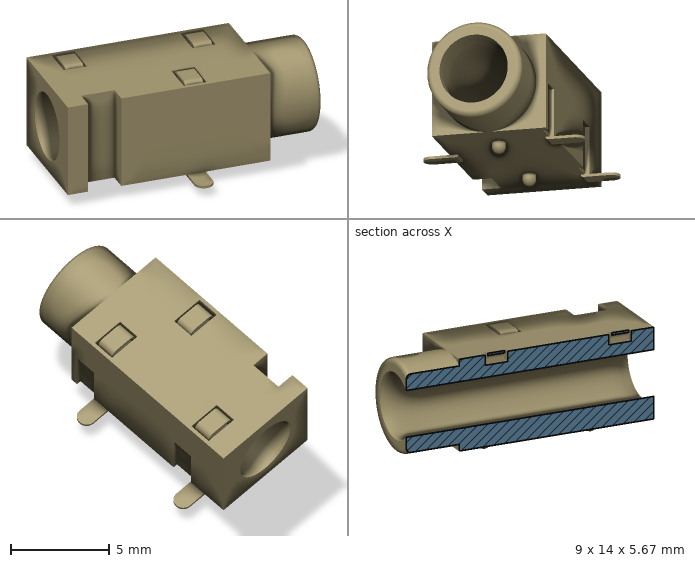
import cadquery as cq


OVERALL_LENGTH = 14.0
HOUSING_WIDTH = 6.0
HOUSING_HEIGHT = 5.0
BARREL_LENGTH = 3.0
BARREL_DIAMETER = HOUSING_HEIGHT
BARREL_EDGE_FILLET = 0.25
BORE_DIAMETER = 3.6
HOUSING_LENGTH = OVERALL_LENGTH - BARREL_LENGTH
AXIS_HEIGHT = HOUSING_HEIGHT / 2
SIDE_X = HOUSING_WIDTH / 2

SIDE_NOTCH_DEPTH = 1.0
SIDE_NOTCH_LENGTH = 1.8
SIDE_NOTCH_Y = 2.0

POCKET_DEPTH = 0.25
POCKET_LENGTH = 1.25
POCKET_HEIGHT = 2.5
POCKET_POSITIONS = (3.0, 10.0)

PEG_RADIUS = 0.35
PEG_STRAIGHT = 0.24
PEG_POSITIONS = (3.0, 9.0)

OVERALL_WIDTH = 9.0
STRIP_THICKNESS = 0.14
STRIP_WIDTH = 1.0
STRIP_OUTER_X = 2.69
SPRING_SPAN = 1.67
OUTER_BEND_RADIUS = 0.35
TIP_BEND_RADIUS = 0.38
SPRING_PROTRUSION = 0.08
LEAD_TIP_X = OVERALL_WIDTH / 2
LEAD_TIP_RADIUS = 0.49
STRIP_INNER_X = STRIP_OUTER_X - STRIP_THICKNESS
SPRING_TIP_X = STRIP_OUTER_X - SPRING_SPAN
SPRING_TOP = HOUSING_HEIGHT + SPRING_PROTRUSION
CONTACTS = ((-1, 8.9), (1, 7.0), (-1, 1.9))

WINDOW_OUTER_CLEARANCE = 0.11
WINDOW_TIP_CLEARANCE = 0.03
WINDOW_CLEARANCE_Y = 0.13
WINDOW_DEPTH = 0.56
WINDOW_FLOOR = HOUSING_HEIGHT - WINDOW_DEPTH
WINDOW_SPAN_X = WINDOW_OUTER_CLEARANCE + SPRING_SPAN + WINDOW_TIP_CLEARANCE
WINDOW_SPAN_Y = STRIP_WIDTH + 2 * WINDOW_CLEARANCE_Y
WINDOW_CENTER_X = STRIP_OUTER_X + WINDOW_OUTER_CLEARANCE - WINDOW_SPAN_X / 2


def box(size_x, size_y, size_z, center_x, center_y, bottom_z):
    """Box centred in X and Y, standing on bottom_z."""
    block = cq.Workplane("XY").box(size_x, size_y, size_z, centered=(True, True, False))
    return block.translate((center_x, center_y, bottom_z))


def make_peg(y):
    """Round peg with a hemispherical end, pointing down from the underside."""
    profile = (
        cq.Workplane("XZ")
        .lineTo(PEG_RADIUS, 0)
        .lineTo(PEG_RADIUS, -PEG_STRAIGHT)
        .radiusArc((0, -PEG_STRAIGHT - PEG_RADIUS), PEG_RADIUS)
        .close()
    )
    return profile.revolve(360, (0, 0, 0), (0, 1, 0)).translate((0, y, 0))


def cut_contact_seat(housing, side, y):
    """Cut the spring window and the slot that holds the upright strip."""
    window = box(WINDOW_SPAN_X, WINDOW_SPAN_Y, WINDOW_DEPTH, side * WINDOW_CENTER_X, y, WINDOW_FLOOR)
    slot_x = side * (STRIP_OUTER_X + STRIP_INNER_X) / 2
    slot = box(STRIP_THICKNESS, STRIP_WIDTH, HOUSING_HEIGHT, slot_x, y, 0)
    return housing.cut(window).cut(slot)


def make_housing():
    block = box(HOUSING_WIDTH, HOUSING_LENGTH, HOUSING_HEIGHT, 0, HOUSING_LENGTH / 2, 0)

    axis_plane = cq.Workplane("XZ").center(0, AXIS_HEIGHT)
    barrel = axis_plane.circle(BARREL_DIAMETER / 2).extrude(-OVERALL_LENGTH)
    barrel = barrel.faces(">Y").edges().fillet(BARREL_EDGE_FILLET)
    barrel = barrel.intersect(
        box(HOUSING_WIDTH, BARREL_LENGTH, HOUSING_HEIGHT, 0, OVERALL_LENGTH - BARREL_LENGTH / 2, 0)
    )
    bore = axis_plane.circle(BORE_DIAMETER / 2).extrude(-OVERALL_LENGTH)
    housing = block.union(barrel).cut(bore)

    notch_x = SIDE_X - SIDE_NOTCH_DEPTH / 2
    housing = housing.cut(
        box(SIDE_NOTCH_DEPTH, SIDE_NOTCH_LENGTH, HOUSING_HEIGHT, notch_x, SIDE_NOTCH_Y, 0)
    )

    pocket_x = -SIDE_X + POCKET_DEPTH / 2
    for y in POCKET_POSITIONS:
        housing = housing.cut(box(POCKET_DEPTH, POCKET_LENGTH, POCKET_HEIGHT, pocket_x, y, 0))

    for side, y in CONTACTS:
        housing = cut_contact_seat(housing, side, y)

    for y in PEG_POSITIONS:
        housing = housing.union(make_peg(y))
    return housing


def make_contact(side, y):
    """Strip contact: rounded lead, upright strip and bent-over spring as one piece."""
    outer_bend_x = STRIP_OUTER_X - OUTER_BEND_RADIUS
    outer_bend_z = SPRING_TOP - OUTER_BEND_RADIUS
    tip_bend_x = SPRING_TIP_X + TIP_BEND_RADIUS
    tip_bend_z = SPRING_TOP - TIP_BEND_RADIUS
    spring_underside = SPRING_TOP - STRIP_THICKNESS
    profile = (
        cq.Workplane("XZ")
        .moveTo(LEAD_TIP_X, 0)
        .lineTo(STRIP_OUTER_X, 0)
        .lineTo(STRIP_OUTER_X, outer_bend_z)
        .radiusArc((outer_bend_x, SPRING_TOP), -OUTER_BEND_RADIUS)
        .lineTo(tip_bend_x, SPRING_TOP)
        .radiusArc((SPRING_TIP_X, tip_bend_z), -TIP_BEND_RADIUS)
        .lineTo(SPRING_TIP_X, WINDOW_FLOOR)
        .lineTo(SPRING_TIP_X + STRIP_THICKNESS, WINDOW_FLOOR)
        .lineTo(SPRING_TIP_X + STRIP_THICKNESS, tip_bend_z)
        .radiusArc((tip_bend_x, spring_underside), TIP_BEND_RADIUS - STRIP_THICKNESS)
        .lineTo(outer_bend_x, spring_underside)
        .radiusArc((STRIP_INNER_X, outer_bend_z), OUTER_BEND_RADIUS - STRIP_THICKNESS)
        .lineTo(STRIP_INNER_X, 0)
        .radiusArc((STRIP_OUTER_X, -STRIP_THICKNESS), -STRIP_THICKNESS)
        .lineTo(LEAD_TIP_X, -STRIP_THICKNESS)
        .close()
    )
    contact = profile.extrude(STRIP_WIDTH / 2, both=True)
    contact = contact.faces(">X").edges("|Z").fillet(LEAD_TIP_RADIUS)
    if side < 0:
        contact = contact.mirror("YZ")
    return contact.translate((0, y, 0))


housing = make_housing()
contacts = [make_contact(side, y) for side, y in CONTACTS]

result = cq.Compound.makeCompound([housing.val(), *[contact.val() for contact in contacts]])